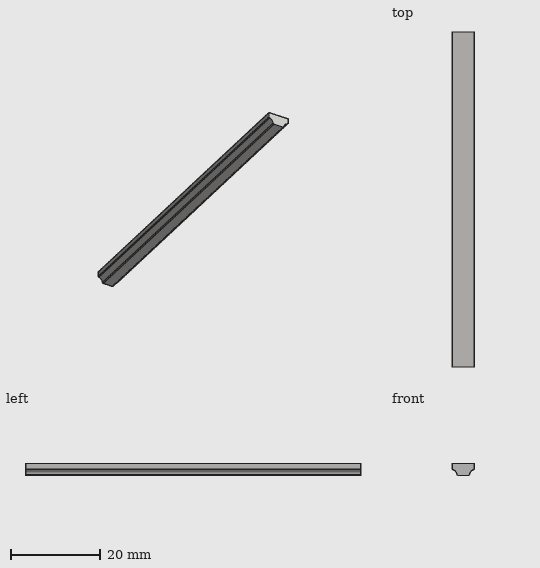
import cadquery as cq

length = 75.0
width = 5.0
height = 2.7
foot_width = 2.4

side_depth = 1.2
lip_chamfer = 0.19
cove_middle = (1.8, -1.7)
cove_end = (1.4, -2.5)

half_width = width / 2
half_foot = foot_width / 2
lip = (half_width - lip_chamfer, -side_depth - lip_chamfer)


def mirrored(point):
    """Return the matching point on the opposite flank."""
    x, z = point
    return (-x, z)


profile = (
    cq.Workplane("XZ", origin=(0, 0, height / 2))
    .moveTo(-half_width, 0)
    .lineTo(half_width, 0)
    .lineTo(half_width, -side_depth)
    .lineTo(*lip)
    .threePointArc(cove_middle, cove_end)
    .lineTo(half_foot, -height)
    .lineTo(-half_foot, -height)
    .lineTo(*mirrored(cove_end))
    .threePointArc(mirrored(cove_middle), mirrored(lip))
    .lineTo(-half_width, -side_depth)
    .close()
)

result = profile.extrude(length / 2, both=True)